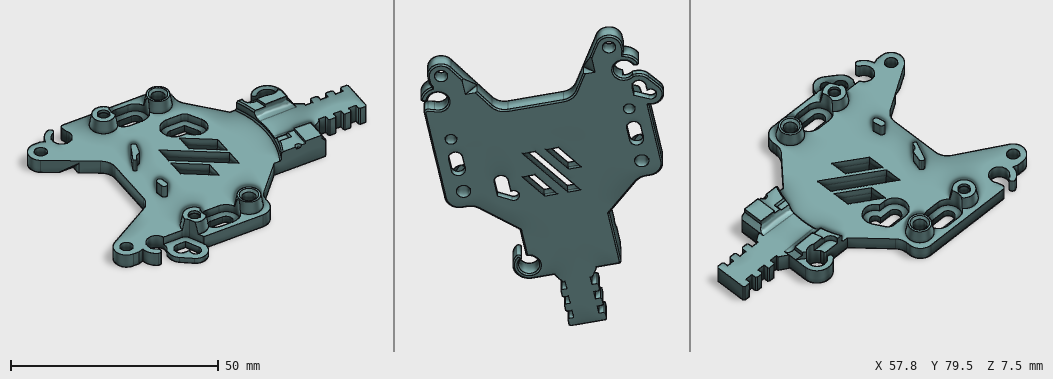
import cadquery as cq
import math

plate_top = 4.1
head_floor = 5.0
front_block_top = 6.75
total_height = 7.5
ledge_height = 1.9
edge_chamfer = 0.4
cut_top = total_height + 0.8

half_width = 26.8
shoulder_y = 41.3
shoulder_radius = 3.6
hip_radius = 4.0
hip_angle = 42.8
head_left = -10.8
head_right = 11.3
head_top_y = 64.5
head_corner_chamfer = 0.5
flank_left_y = 50.2
leg_angle = 58.8
crotch_y = 16.0
crotch_radius = 4.1
lip_radius = 0.9

tab_x = 20.65
tab_y = 3.25
tab_radius = 3.25
tab_hole_diameter = 3.2

clip_hole_radius = 2.55
leg_clip_x = 22.9
leg_clip_y = 10.3
leg_clip_outer_radius = 4.2
head_clip_y = 60.55
head_clip_outer_radius = head_top_y - head_clip_y

standoff_x = 21.9
upper_standoff_y = 36.6
lower_standoff_y = 21.45
slot_y = 28.6
standoff_base_diameter = 6.9
standoff_top_diameter = 5.7
upper_hole_diameter = 3.4
upper_hole_mouth = 4.7
lower_hole_diameter = 2.8
lower_hole_mouth = 3.0
lower_mouth_depth = 0.8
slot_width = 3.4
slot_length = 6.75
pocket_margin = 1.75

bulb_radius = 1.39
left_keyhole = {"slot": (-12.5, 35.7), "bulb": (-10.3, 40.2), "corner_y": 39.6}
right_keyhole = {"slot": (25.5, 15.65), "bulb": (27.85, 18.35), "corner_y": 17.9}

neck_end_y = 79.45
neck_half_width = 3.1
tooth_half_width = 4.6
tooth_length = 2.15
tooth_pitch = 4.2
tooth_count = 3
tooth_chamfer = 0.3
flare_y = 66.8
flare_half_width = 5.1
flare_step = 3.65

recess_y = 28.6
recess_radius = 25.4
ramp_length = 1.35
channel_back_half_width = 3.6
channel_front_half_width = 3.3
channel_front_y = 53.2
channel_flank = 2.2
left_block_x = -8.4
left_block_foot_y = 53.6
left_block_fillet = 2.0
left_step_radius = 29.0
right_step_y = 58.6
notch_right = 7.4
notch_back = 56.9
notch_depth = 0.5
edge_dimple_y = 56.6
edge_dimple_radius = 0.9
edge_dimple_depth = 0.7

windows = [(-8.4, 34.8, 42.5), (-7.0, 28.3, 42.5), (-1.3, 28.3, 36.1)]
window_width = 4.6
window_lean = 0.66
window_inset = 0.6
window_straight_depth = 2.1

wedge_outer_x = 16.0
wedge_inner_x = 13.0
wedge_height = 3.4
wedge_end_y = 9.5


def polygon(points, bottom, top):
    """Prism with straight sides."""
    return cq.Workplane("XY").workplane(offset=bottom).polyline(points).close().extrude(top - bottom)


def disc(center, radius, bottom, top):
    """Upright cylinder."""
    return cq.Workplane("XY").workplane(offset=bottom).center(*center).circle(radius).extrude(top - bottom)


def rounded_prism(corners, bottom, top):
    """Prism from (x, y, radius) corners; a radius of 0 leaves the corner sharp."""
    stretches = []
    for i, (x, y, radius) in enumerate(corners):
        before = corners[i - 1]
        after = corners[(i + 1) % len(corners)]
        corner = cq.Vector(x, y)
        to_before = (cq.Vector(before[0], before[1]) - corner).normalized()
        to_after = (cq.Vector(after[0], after[1]) - corner).normalized()
        if radius == 0:
            stretches.append([corner])
            continue
        half_angle = to_before.getAngle(to_after) / 2
        reach = radius / math.tan(half_angle)
        bisector = (to_before + to_after).normalized()
        middle = corner + bisector * (radius / math.sin(half_angle) - radius)
        stretches.append([corner + to_before * reach, middle, corner + to_after * reach])
    outline = cq.Workplane("XY").workplane(offset=bottom).moveTo(*stretches[0][0].toTuple()[:2])
    for i, stretch in enumerate(stretches):
        if i > 0:
            outline = outline.lineTo(*stretch[0].toTuple()[:2])
        if len(stretch) == 3:
            outline = outline.threePointArc(stretch[1].toTuple()[:2], stretch[2].toTuple()[:2])
    return outline.close().extrude(top - bottom)


def polar(center, radius, angle):
    """Point at an angle in degrees on a circle."""
    turn = math.radians(angle)
    return (center[0] + radius * math.cos(turn), center[1] + radius * math.sin(turn))


def clip_arm(center, outer_radius, tip_angle, root_angle, bottom, top):
    """Sector with a round tip; it becomes a curved finger once the clip hole is cut."""
    middle_angle = (tip_angle + root_angle) / 2
    arm = (
        cq.Workplane("XY")
        .workplane(offset=bottom)
        .moveTo(*center)
        .lineTo(*polar(center, outer_radius, root_angle))
        .threePointArc(polar(center, outer_radius, middle_angle), polar(center, outer_radius, tip_angle))
        .close()
        .extrude(top - bottom)
    )
    tip_radius = (outer_radius - clip_hole_radius) / 2
    tip = polar(center, clip_hole_radius + tip_radius, tip_angle)
    return arm.union(disc(tip, tip_radius, bottom, top))


def tangent_angle(first, first_radius, second, second_radius, side):
    """Direction, in degrees, from the centers to the shared tangent line on the left (1) or right (-1)."""
    dx = second[0] - first[0]
    dy = second[1] - first[1]
    spread = math.acos((first_radius - second_radius) / math.hypot(dx, dy))
    return math.degrees(math.atan2(dy, dx) + side * spread)


def keyhole(slot, bulb, corner_y, margin, bottom, top):
    """Slot end joined to a smaller bulb at its upper right, grown all round by a margin."""
    slot_radius = slot_width / 2
    corner = (slot[0] - slot_radius, corner_y)
    left = corner[0] - margin
    right = slot[0] + slot_radius + margin
    normal = tangent_angle(corner, 0, bulb, bulb_radius, 1)
    body = polygon(
        [
            (left, slot[1]),
            (left, corner_y),
            corner,
            polar(corner, margin, normal),
            polar(bulb, bulb_radius + margin, normal),
            bulb,
            (right, bulb[1]),
            (right, slot[1]),
        ]
        if margin
        else [(left, slot[1]), corner, polar(bulb, bulb_radius, normal), bulb, (right, bulb[1]), (right, slot[1])],
        bottom,
        top,
    )
    body = body.union(disc(slot, slot_radius + margin, bottom, top))
    body = body.union(disc(bulb, bulb_radius + margin, bottom, top))
    if margin:
        body = body.union(disc(corner, margin, bottom, top))
    return body


def right_loop(bottom, top):
    """Outer shape of the right keyhole's ledge, filled in on its right and lower left sides."""
    slot = right_keyhole["slot"]
    bulb = right_keyhole["bulb"]
    slot_radius = slot_width / 2 + pocket_margin
    outer_bulb = bulb_radius + pocket_margin
    normal = tangent_angle(slot, slot_radius, bulb, outer_bulb, -1)
    web = polygon(
        [slot, polar(slot, slot_radius, normal), polar(bulb, outer_bulb, normal), bulb], bottom, top
    )
    foot = polygon(
        [
            (slot[0] - slot_radius, slot[1]),
            (slot[0] - slot_radius, slot[1] - slot_radius),
            (slot[0], slot[1] - slot_radius),
            slot,
        ],
        bottom,
        top,
    )
    return keyhole(**right_keyhole, margin=pocket_margin, bottom=bottom, top=top).union(web).union(foot)


leg_clips = [(-leg_clip_x, leg_clip_y), (leg_clip_x, leg_clip_y)]
head_clip = (head_left + 0.15, head_clip_y)


def flank_x(y):
    """Distance of the sloping flank from the middle."""
    return -head_left + (flank_left_y - y) / math.tan(math.radians(hip_angle))


def outline_corners():
    """Body outline, counterclockwise, passing through the clip and tab centers."""
    flank_slope = math.tan(math.radians(hip_angle))
    flank_right_y = flank_left_y - (head_right + head_left) * flank_slope
    leg_x, leg_y = polar((-tab_x, tab_y), tab_radius, leg_angle - 90)
    crotch_x = leg_x + (crotch_y - leg_y) / math.tan(math.radians(leg_angle))
    left_leg = [
        (-leg_clip_x - 1.1, leg_clip_y + 2.2, 0),
        (-leg_clip_x, leg_clip_y, 0),
        (-23.5, 6.0, 0),
        (-tab_x - tab_radius, 4.9, 0),
        (-tab_x - tab_radius, tab_y, 0),
        (-tab_x, tab_y, 0),
        (leg_x, leg_y, 0),
        (crotch_x, crotch_y, crotch_radius),
    ]
    right_leg = [(-x, y, radius) for x, y, radius in reversed(left_leg)]
    loop_slot = right_keyhole["slot"]
    return [
        (head_clip[0], head_top_y, 0),
        (*head_clip, 0),
        (-9.5, 58.2, 0),
        (head_left, 58.2, 0.7),
        (head_left, flank_left_y, 0),
        (-flank_x(shoulder_y), shoulder_y, hip_radius),
        (-half_width, shoulder_y, shoulder_radius),
        (-half_width, 11.8, lip_radius),
        *left_leg,
        *right_leg,
        (loop_slot[0], loop_slot[1] - 2.4, 0),
        (half_width, right_keyhole["corner_y"], 0),
        (half_width, shoulder_y, shoulder_radius),
        (flank_x(shoulder_y), shoulder_y, hip_radius),
        (head_right, flank_right_y, 0),
        (head_right, head_top_y - head_corner_chamfer, 0),
        (head_right - head_corner_chamfer, head_top_y, 0),
    ]


def make_body():
    bottom = edge_chamfer
    body = rounded_prism(outline_corners(), bottom, head_floor)
    for side in (-1, 1):
        body = body.union(disc((side * tab_x, tab_y), tab_radius, bottom, head_floor))
    body = body.union(clip_arm(leg_clips[0], leg_clip_outer_radius, 204, 285, bottom, head_floor))
    body = body.union(clip_arm(leg_clips[1], leg_clip_outer_radius, -24, -105, bottom, head_floor))
    body = body.union(clip_arm(head_clip, head_clip_outer_radius, 230, 90, bottom, head_floor))
    body = body.cut(right_loop(ledge_height, head_floor)).union(right_loop(bottom, ledge_height))
    for center in [*leg_clips, head_clip]:
        body = body.cut(disc(center, clip_hole_radius, bottom, head_floor))
    outline = body.faces("<Z").wires().vals()
    bottom_edge = cq.Workplane("XY").newObject(outline).toPending().extrude(-edge_chamfer, taper=45)
    return body.union(bottom_edge)


def make_neck():
    """Toothed tongue that widens where it meets the head."""
    right_side = [
        (flare_half_width, head_top_y - 0.8),
        (flare_half_width, head_top_y),
        (flare_step, flare_y),
        (neck_half_width, flare_y),
    ]
    for i in reversed(range(tooth_count)):
        tooth_back = neck_end_y - i * tooth_pitch
        tooth_front = tooth_back - tooth_length
        right_side += [
            (neck_half_width, tooth_front),
            (tooth_half_width - tooth_chamfer, tooth_front),
            (tooth_half_width, tooth_front + tooth_chamfer),
            (tooth_half_width, tooth_back - tooth_chamfer),
            (tooth_half_width - tooth_chamfer, tooth_back),
            (neck_half_width, tooth_back),
        ]
    left_side = [(-x, y) for x, y in reversed(right_side)]
    return polygon(right_side + left_side, 0, head_floor)


def channel_profile(half_width_at_floor, y):
    """Cross-section of the cable channel, with rounded flanks."""
    flank_end = half_width_at_floor + channel_flank
    flank_top = head_floor + channel_flank
    middle_x = half_width_at_floor + channel_flank * math.sin(math.radians(45))
    middle_z = flank_top - channel_flank * math.cos(math.radians(45))
    profile = (
        cq.Workplane("XZ", origin=(0, y, 0))
        .moveTo(-half_width_at_floor, head_floor)
        .lineTo(half_width_at_floor, head_floor)
        .threePointArc((middle_x, middle_z), (flank_end, flank_top))
        .lineTo(flank_end, cut_top)
        .lineTo(-flank_end, cut_top)
        .lineTo(-flank_end, flank_top)
        .threePointArc((-middle_x, middle_z), (-half_width_at_floor, head_floor))
        .close()
    )
    return profile.val()


def make_head_blocks():
    front_y = recess_y + 19.1
    left = rounded_prism(
        [
            (0, head_top_y, 0),
            (-7.3, head_top_y, 0),
            (-8.9, 62.4, 0),
            (left_block_x, head_clip_y, 0),
            (left_block_x, left_block_foot_y, left_block_fillet),
            (head_left, left_block_foot_y, 0),
            (head_left, front_y, 0),
            (0, front_y, 0),
        ],
        head_floor,
        total_height,
    )
    right = polygon(
        [
            (0, front_y),
            (head_right, front_y),
            (head_right, head_top_y - head_corner_chamfer),
            (head_right - head_corner_chamfer, head_top_y),
            (0, head_top_y),
        ],
        head_floor,
        total_height,
    )
    left = left.cut(disc((0, recess_y), left_step_radius, front_block_top, total_height))
    left = left.cut(disc(head_clip, clip_hole_radius, head_floor, total_height))
    right_step = [(0, front_y), (head_right, front_y), (head_right, right_step_y), (0, right_step_y)]
    right = right.cut(polygon(right_step, front_block_top, total_height))
    notch = (
        cq.Workplane("XY")
        .workplane(offset=front_block_top)
        .polyline([(0, front_y), (notch_right, front_y), (notch_right, notch_back), (0, notch_back)])
        .close()
        .extrude(-notch_depth, taper=45)
    )
    dimple = (
        cq.Workplane("XY")
        .workplane(offset=front_block_top)
        .center(head_right, edge_dimple_y)
        .circle(edge_dimple_radius)
        .extrude(-edge_dimple_depth, taper=30)
    )
    blocks = left.union(right.cut(notch).cut(dimple))
    ramp_front = head_top_y - ramp_length
    ramp = (
        cq.Workplane("YZ", origin=(head_left, 0, 0))
        .polyline(
            [
                (head_top_y, head_floor),
                (ramp_front, head_floor + ramp_length),
                (ramp_front, total_height),
                (head_top_y, total_height),
            ]
        )
        .close()
        .extrude(head_right - head_left)
    )
    return blocks.cut(ramp)


def make_channel():
    """Cable channel between the head blocks, slightly wider at the back."""
    sections = [
        channel_profile(channel_front_half_width, channel_front_y),
        channel_profile(channel_back_half_width, head_top_y),
    ]
    return cq.Workplane(cq.Solid.makeLoft(sections, True))


def make_recess():
    """Round clearance in front of the head with a chamfered foot and rim, and all space over the plate."""
    foot = recess_radius + edge_chamfer
    rim = foot + edge_chamfer
    bowl = (
        cq.Workplane("XZ", origin=(0, recess_y, 0))
        .polyline(
            [
                (0, plate_top),
                (recess_radius, plate_top),
                (foot, plate_top + edge_chamfer),
                (foot, front_block_top - edge_chamfer),
                (rim, front_block_top),
                (rim, cut_top),
                (0, cut_top),
            ]
        )
        .close()
        .revolve(360, (0, 0), (0, 1))
    )
    back_y = recess_y + 19.1
    reach = half_width + 7.95
    over_plate = [(-reach, -0.8), (reach, -0.8), (reach, back_y), (-reach, back_y)]
    return bowl.union(polygon(over_plate, plate_top, cut_top))


def make_standoff(center):
    return (
        cq.Workplane("XY")
        .workplane(offset=plate_top)
        .center(*center)
        .circle(standoff_base_diameter / 2)
        .workplane(offset=total_height - plate_top)
        .circle(standoff_top_diameter / 2)
        .loft()
    )


def slot(center, margin, bottom):
    """Slot along Y, grown by a margin."""
    length = slot_length + 2 * margin
    width = slot_width + 2 * margin
    return (
        cq.Workplane("XY").workplane(offset=bottom).center(*center).slot2D(length, width, 90).extrude(cut_top - bottom)
    )


def upper_standoff_hole(center):
    mouth_depth = (upper_hole_mouth - upper_hole_diameter) / 2
    mouth = (
        cq.Workplane("XY")
        .workplane(offset=total_height)
        .center(*center)
        .circle(upper_hole_mouth / 2)
        .extrude(-mouth_depth, taper=45)
    )
    return disc(center, upper_hole_diameter / 2, 0, total_height).union(mouth)


def lower_standoff_hole(center):
    mouth = disc(center, lower_hole_mouth / 2, total_height - lower_mouth_depth, total_height)
    return disc(center, lower_hole_diameter / 2, 0, total_height).union(mouth)


def make_window(left, bottom_y, top_y):
    """Slanted opening, straight at the top and narrowing towards the underside."""
    shift = (top_y - bottom_y) * window_lean
    corners = [
        (left, bottom_y),
        (left + window_width, bottom_y),
        (left + window_width + shift, top_y),
        (left + shift, top_y),
    ]
    taper_depth = plate_top - window_straight_depth
    taper = math.degrees(math.atan(window_inset / taper_depth))
    lower = cq.Workplane("XY").workplane(offset=taper_depth).polyline(corners).close()
    return polygon(corners, taper_depth, plate_top).union(lower.extrude(-taper_depth, taper=taper))


def make_pegs():
    left_peg = rounded_prism(
        [
            (-8.9, 21.45, 0.55),
            (-8.2, 22.65, 0.55),
            (-4.9, 21.7, 0.5),
            (-4.4, 20.4, 0.3),
            (-2.8, 19.8, 0.3),
            (-3.3, 18.9, 0.3),
        ],
        plate_top,
        total_height,
    )
    right_peg = (
        cq.Workplane("XY").workplane(offset=plate_top).center(7.55, 20.7).slot2D(3.25, 1.7, 11).extrude(
            total_height - plate_top
        )
    )
    return left_peg, right_peg


def make_leg_wedge(side):
    return (
        cq.Workplane("XZ", origin=(0, wedge_end_y, 0))
        .polyline([(side * wedge_outer_x, 0), (side * wedge_inner_x, 0), (side * wedge_inner_x, wedge_height)])
        .close()
        .extrude(wedge_end_y)
    )


result = make_body().union(make_neck()).union(make_head_blocks())
result = result.cut(make_channel()).cut(make_recess())
for side in (-1, 1):
    upper_standoff = (side * standoff_x, upper_standoff_y)
    lower_standoff = (side * standoff_x, lower_standoff_y)
    slot_center = (side * standoff_x, slot_y)
    result = result.union(make_standoff(upper_standoff)).union(make_standoff(lower_standoff))
    result = result.cut(upper_standoff_hole(upper_standoff)).cut(lower_standoff_hole(lower_standoff))
    result = result.cut(slot(slot_center, pocket_margin, ledge_height)).cut(slot(slot_center, 0, 0))
    result = result.cut(disc((side * tab_x, tab_y), tab_hole_diameter / 2, 0, plate_top))
    result = result.cut(make_leg_wedge(side))
result = result.cut(right_loop(ledge_height, cut_top))
result = result.cut(keyhole(**left_keyhole, margin=pocket_margin, bottom=ledge_height, top=plate_top))
for position in (left_keyhole, right_keyhole):
    result = result.cut(keyhole(**position, margin=0, bottom=0, top=plate_top))
for window in windows:
    result = result.cut(make_window(*window))
for peg in make_pegs():
    result = result.union(peg)